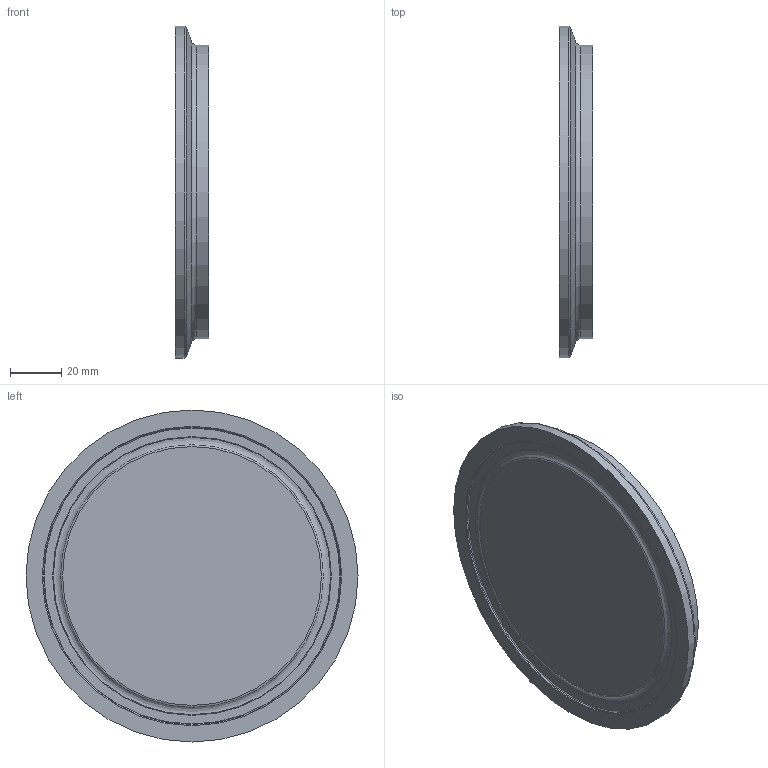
import cadquery as cq
import math

flange_radius = 130 / 2
hub_radius = 115 / 2
total_length = 13.0

cone_angle = 20
rim_blend = 1.0
hub_blend = 2.0
hub_blend_end_x = 8.2

recess_radius = 116.7 / 2
recess_depth = 1.4
recess_edge_round = 0.25
recess_corner_fillet = 0.4

land_inner_radius = 54.55
trough_blend = 1.0
trough_radius = 3.0
trough_outer_angle = 15
trough_inner_angle = 45


def circle_point(centre, radius, angle):
    """Point on a circle; the angle in degrees runs from +X towards the rim."""
    turn = math.radians(angle)
    return (centre[0] + radius * math.cos(turn), centre[1] + radius * math.sin(turn))


outer_centre = (recess_depth + trough_blend, land_inner_radius)
trough_centre = circle_point(outer_centre, trough_blend + trough_radius, 180 + trough_outer_angle)
inner_centre = circle_point(trough_centre, trough_radius + trough_blend, -trough_inner_angle)
disc_x = inner_centre[0] - trough_blend
disc_radius = inner_centre[1]


def add_arc(profile, centre, radius, start_angle, end_angle):
    """Extend the profile by an arc that begins at its current point."""
    middle = circle_point(centre, radius, (start_angle + end_angle) / 2)
    return profile.threePointArc(middle, circle_point(centre, radius, end_angle))


def add_back(profile):
    """From the front edge of the rim, over the cone, to the start of the straight hub."""
    hub_centre = (hub_blend_end_x, hub_radius + hub_blend)
    cone_end = circle_point(hub_centre, hub_blend, 180 + cone_angle)

    rim_centre_radius = flange_radius - rim_blend
    cone_start_radius = rim_centre_radius + rim_blend * math.sin(math.radians(cone_angle))
    cone_length_x = (cone_start_radius - cone_end[1]) * math.tan(math.radians(cone_angle))
    cone_start_x = cone_end[0] - cone_length_x
    rim_centre = (cone_start_x - rim_blend * math.cos(math.radians(cone_angle)), rim_centre_radius)

    profile = profile.lineTo(rim_centre[0], flange_radius)
    profile = add_arc(profile, rim_centre, rim_blend, 90, cone_angle)
    profile = profile.lineTo(*cone_end)
    return add_arc(profile, hub_centre, hub_blend, 180 + cone_angle, 270)


def add_trough(profile):
    """From the edge of the centre disc, through the trough, to the inner edge of the land."""
    profile = add_arc(profile, inner_centre, trough_blend, 180, 180 - trough_inner_angle)
    profile = add_arc(profile, trough_centre, trough_radius, -trough_inner_angle, trough_outer_angle)
    return add_arc(profile, outer_centre, trough_blend, 180 + trough_outer_angle, 180)


def add_recess_wall(profile):
    """From the outer edge of the land, up the rounded recess wall, onto the flange face."""
    corner_centre = (recess_depth - recess_corner_fillet, recess_radius - recess_corner_fillet)
    edge_centre = (recess_edge_round, recess_radius + recess_edge_round)

    profile = add_arc(profile, corner_centre, recess_corner_fillet, 0, 90)
    profile = profile.lineTo(recess_edge_round, recess_radius)
    return add_arc(profile, edge_centre, recess_edge_round, 270, 180)


def make_flange():
    """Turn the full half-section, followed from the front rim edge round to the axis and back."""
    profile = cq.Workplane("XY").moveTo(0, flange_radius)
    profile = add_back(profile)
    profile = profile.lineTo(total_length, hub_radius)
    profile = profile.lineTo(total_length, 0)
    profile = profile.lineTo(disc_x, 0)
    profile = profile.lineTo(disc_x, disc_radius)
    profile = add_trough(profile)
    profile = profile.lineTo(recess_depth, recess_radius - recess_corner_fillet)
    profile = add_recess_wall(profile)
    return profile.close().revolve(360, (0, 0, 0), (1, 0, 0))


result = make_flange()